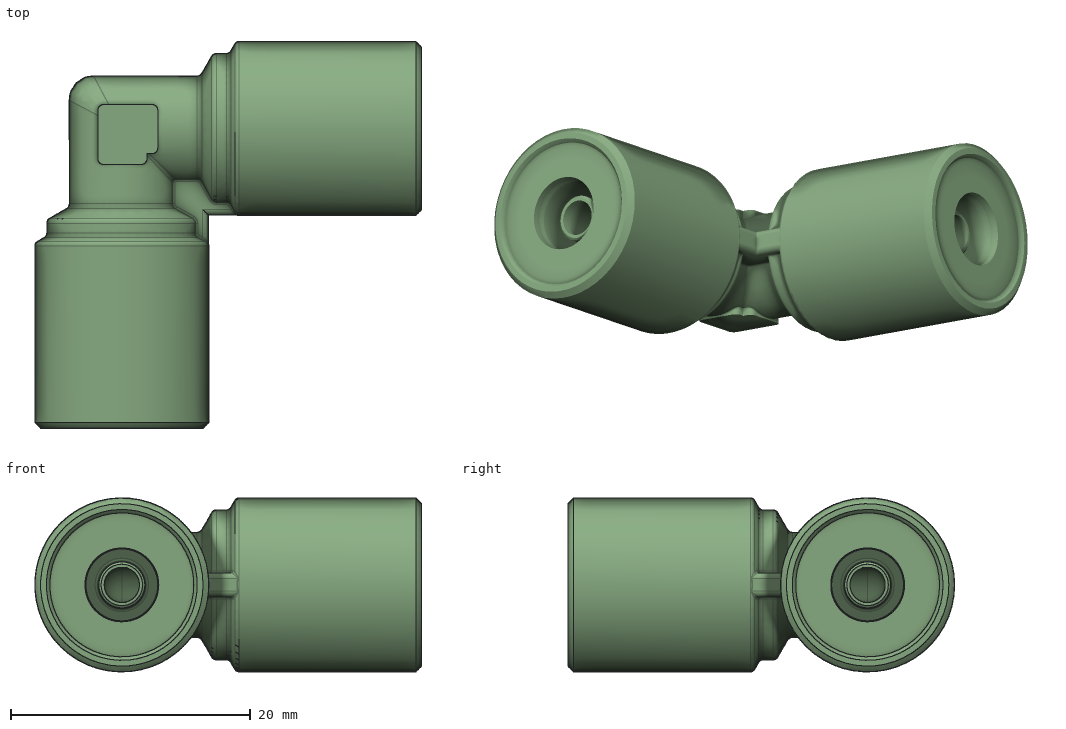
import cadquery as cq
import math

BODY_RADIUS = 7.25
OVERALL_LENGTH = 32.25
ARM_END = OVERALL_LENGTH - BODY_RADIUS
NECK_RADIUS = 4.4

TOLERANCE = 0.003

CONE_ANGLE = 60.0
COLLAR_CONE_FOOT = 6.55
COLLAR_RADIUS = 6.25
COLLAR_ROUND = 0.48
BODY_CONE_FOOT = 8.95
BODY_ROUND = 0.42
BODY_CHAMFER = 0.48

RIM_RADIUS = 6.3
DISC_RADIUS = 12.0 / 2
DISC_RECESS = 0.4
ENTRY_RADIUS = 6.15 / 2
ENTRY_DEPTH = 0.75
ENTRY_TAPER = 0.55
TUBE_RADIUS = 3.0
SOCKET_FLOOR = 10.0

NOZZLE_FOOT_RADIUS = 4.0 / 2
NOZZLE_TIP_RADIUS = 3.85 / 2
NOZZLE_TIP_DEPTH = 1.95
NOZZLE_FOOT_ROUND = 0.23
NOZZLE_TIP_CHAMFER = 0.2
PASSAGE_RADIUS = 2.95 / 2

CORNER_ROUND = 2.0
CREASE_ROUND = 0.3
WEB_THICKNESS = 2.0
WEB_ROUND = 0.48
WEB_FOOT_ROUND = 0.2
WEB_EDGE = BODY_RADIUS - 0.03
WEB_REACH = 10.32
PAD_HEIGHT = 4.5
PAD_BACK = 2.0
PAD_FRONT = 3.0
PAD_NOTCH = 0.9
PAD_ROUND = 0.48


def both_arms(arm):
    """Return a shape lying along +X together with its copy along -Y."""
    return arm.union(arm.rotate((0, 0, 0), (0, 0, 1), -90))


def revolve_about_x(outline):
    """Close a half outline drawn in X and Y and turn it about the X axis."""
    return outline.close().revolve(360, (0, 0, 0), (1, 0, 0))


def cone_tangent(edge_round):
    """Distance from the sharp foot or top of a cone to the start of its round."""
    return edge_round * math.tan(math.radians(CONE_ANGLE / 2))


def neck_length():
    """Distance from the corner to the round at the foot of the collar cone."""
    return COLLAR_CONE_FOOT - cone_tangent(COLLAR_ROUND)


def mitred_half_neck(side, mitre_round):
    """Half of the mitred neck: the outer half for side = 1, the inner half for side = -1."""
    reach = neck_length()
    half_space = 8 * reach
    half_tube = (
        cq.Workplane("YZ").workplane(offset=-reach)
        .moveTo(0, -NECK_RADIUS)
        .threePointArc((side * NECK_RADIUS, 0), (0, NECK_RADIUS))
        .close().extrude(2 * reach)
    )
    mitre = (
        cq.Workplane("XY").box(half_space, half_space, half_space)
        .translate((half_space / 2, 0, 0))
        .rotate((0, 0, 0), (0, 0, 1), 45)
    )
    half = half_tube.intersect(mitre)
    half = half.union(half.mirror("XZ").rotate((0, 0, 0), (0, 0, 1), -90))
    mitre_edges = [edge for edge in half.edges().vals() if edge.geomType() == "ELLIPSE"]
    return half.newObject(mitre_edges).fillet(mitre_round)


def neck():
    """Both halves of the mitred neck, rounded outside and in the crease."""
    return mitred_half_neck(1, CORNER_ROUND).union(mitred_half_neck(-1, CREASE_ROUND), clean=False)


def rounded_cone(outline, foot, foot_radius, top_radius, edge_round):
    """Continue a half outline up a cone that runs smoothly into cylinders at foot and top.

    The outline must already have reached the start of the round at the foot.
    """
    angle = math.radians(CONE_ANGLE)
    top = foot + (top_radius - foot_radius) / math.tan(angle)
    tangent = cone_tangent(edge_round)
    run = tangent * math.cos(angle)
    rise = tangent * math.sin(angle)
    inset = edge_round / math.cos(angle / 2) - edge_round
    inset_x = inset * math.sin(angle / 2)
    inset_y = inset * math.cos(angle / 2)
    return (
        outline
        .threePointArc((foot - inset_x, foot_radius + inset_y), (foot + run, foot_radius + rise))
        .lineTo(top - run, top_radius - rise)
        .threePointArc((top + inset_x, top_radius - inset_y), (top + tangent, top_radius))
    )


def arm_body():
    """Cones, collar and cylindrical body of the arm along +X."""
    outline = cq.Workplane("XY").moveTo(neck_length(), 0).lineTo(neck_length(), NECK_RADIUS)
    outline = rounded_cone(outline, COLLAR_CONE_FOOT, NECK_RADIUS, COLLAR_RADIUS, COLLAR_ROUND)
    outline = outline.lineTo(BODY_CONE_FOOT - cone_tangent(BODY_ROUND), COLLAR_RADIUS)
    outline = rounded_cone(outline, BODY_CONE_FOOT, COLLAR_RADIUS, BODY_RADIUS, BODY_ROUND)
    outline = (
        outline.lineTo(ARM_END - BODY_CHAMFER, BODY_RADIUS)
        .lineTo(ARM_END, BODY_RADIUS - BODY_CHAMFER)
        .lineTo(ARM_END, 0)
    )
    return revolve_about_x(outline)


def socket():
    """Space inside the arm along +X: rim recess, stepped tube bore and room around the nozzle."""
    disc_face = ARM_END - DISC_RECESS
    entry_end = disc_face - ENTRY_DEPTH
    outline = (
        cq.Workplane("XY")
        .moveTo(SOCKET_FLOOR, 0)
        .lineTo(SOCKET_FLOOR, TUBE_RADIUS)
        .lineTo(entry_end - ENTRY_TAPER, TUBE_RADIUS)
        .lineTo(entry_end, ENTRY_RADIUS)
        .lineTo(disc_face, ENTRY_RADIUS)
        .lineTo(disc_face, DISC_RADIUS)
        .lineTo(ARM_END, RIM_RADIUS)
        .lineTo(ARM_END, 0)
    )
    return revolve_about_x(outline)


def nozzle():
    """Tapered tube standing on the socket floor, with a rounded foot and a chamfered tip."""
    tip = ARM_END - DISC_RECESS - NOZZLE_TIP_DEPTH
    root = SOCKET_FLOOR - NOZZLE_FOOT_ROUND
    foot_edge = NOZZLE_FOOT_RADIUS + NOZZLE_FOOT_ROUND
    foot_offset = NOZZLE_FOOT_ROUND * (1 - math.sqrt(0.5))
    outline = (
        cq.Workplane("XY")
        .moveTo(root, 0)
        .lineTo(root, foot_edge)
        .lineTo(SOCKET_FLOOR, foot_edge)
        .threePointArc(
            (SOCKET_FLOOR + foot_offset, NOZZLE_FOOT_RADIUS + foot_offset),
            (SOCKET_FLOOR + NOZZLE_FOOT_ROUND, NOZZLE_FOOT_RADIUS),
        )
        .lineTo(tip - NOZZLE_TIP_CHAMFER, NOZZLE_TIP_RADIUS)
        .lineTo(tip, NOZZLE_TIP_RADIUS - NOZZLE_TIP_CHAMFER)
        .lineTo(tip, 0)
    )
    return revolve_about_x(outline)


def passage():
    """Round passage through both nozzles, turning in a spherical corner."""
    bore = cq.Workplane("YZ").circle(PASSAGE_RADIUS).extrude(ARM_END)
    return both_arms(bore).union(cq.Workplane("XY").sphere(PASSAGE_RADIUS))


def web():
    """Flat L-shaped web filling the inside corner, rounded along its free edges."""
    plate = (
        cq.Workplane("XY").workplane(offset=-WEB_THICKNESS / 2)
        .polyline([
            (0, 0), (WEB_REACH, 0), (WEB_REACH, -WEB_EDGE), (WEB_EDGE, -WEB_EDGE),
            (WEB_EDGE, -WEB_REACH), (0, -WEB_REACH),
        ])
        .close().extrude(WEB_THICKNESS)
    )
    middle = (WEB_EDGE + WEB_REACH) / 2
    free_edges = [
        edge for edge in plate.edges("not |Z").vals()
        if abs(edge.Center().x - edge.Center().y - middle - WEB_EDGE) < TOLERANCE
    ]
    return plate.newObject(free_edges).fillet(WEB_ROUND)


def pads():
    """Square pads on the top and bottom of the corner, notched where the necks meet."""
    side = PAD_BACK + PAD_FRONT
    middle = (PAD_FRONT - PAD_BACK) / 2
    block = (
        cq.Workplane("XY").center(middle, -middle)
        .rect(side, side).extrude(PAD_HEIGHT, both=True)
    )
    notch = (
        cq.Workplane("XY").center(PAD_FRONT, -PAD_FRONT)
        .rect(2 * PAD_NOTCH, 2 * PAD_NOTCH).extrude(PAD_HEIGHT, both=True)
    )
    inner_corner = PAD_FRONT - PAD_NOTCH
    block = block.cut(notch)
    round_edges = [
        edge for edge in block.edges("|Z").vals()
        if abs(edge.Center().x - inner_corner) + abs(edge.Center().y + inner_corner) > TOLERANCE
    ]
    return block.newObject(round_edges).fillet(PAD_ROUND)


def round_web_foot(elbow):
    """Round the inside edges where the flat faces of the web meet the necks and arms."""
    rounded_edge = WEB_EDGE - WEB_ROUND
    foot_edges = []
    for edge in elbow.edges().vals():
        centre = edge.Center()
        box = edge.BoundingBox()
        on_web_face = box.zlen < TOLERANCE and abs(abs(centre.z) - WEB_THICKNESS / 2) < TOLERANCE
        in_corner = centre.x > PAD_FRONT and centre.y < -PAD_FRONT
        along_free_edge = (
            (box.xlen < TOLERANCE and abs(centre.x - rounded_edge) < TOLERANCE)
            or (box.ylen < TOLERANCE and abs(centre.y + rounded_edge) < TOLERANCE)
        )
        if on_web_face and in_corner and not along_free_edge:
            foot_edges.append(edge)
    return elbow.newObject(foot_edges).fillet(WEB_FOOT_ROUND)


elbow = neck()
for added_shape in (both_arms(arm_body()), web(), pads()):
    elbow = elbow.union(added_shape, clean=False)
elbow = round_web_foot(elbow.clean())
elbow = elbow.cut(both_arms(socket()), clean=False)
elbow = elbow.union(both_arms(nozzle()), clean=False)
result = elbow.cut(passage(), clean=False)